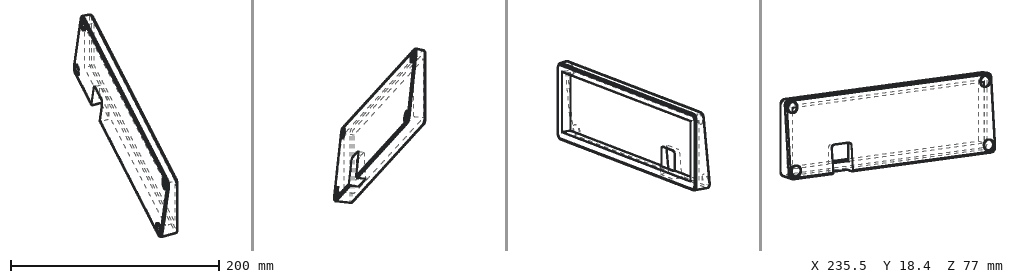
import cadquery as cq
import math

length = 235.5
depth = 18.4
height = 77.0
tilt = 6.0
corner_radius = 5.7
edge_chamfer = 1.5

wall = 8.5
cavity_depth = 10.0

notch_left = -68.0
notch_right = -45.7
notch_top = 28.3
notch_top_radius = 3.0
notch_end_radius = 1.3
notch_end_y = -8.5

foot_diameter = 10.5
foot_inset = 8.0
foot_depth = 1.0

tilt_sin = math.sin(math.radians(tilt))
tilt_cos = math.cos(math.radians(tilt))
tilt_tan = tilt_sin / tilt_cos

chamfer_trim = edge_chamfer * tilt_sin
bottom_depth = depth + chamfer_trim
slope_length = (height + chamfer_trim) / tilt_cos

slope_plane = cq.Plane(
    origin=(0, -bottom_depth, 0),
    xDir=(1, 0, 0),
    normal=(0, -tilt_cos, tilt_sin),
)


def wedge_body():
    """Wedge with a top face square to the slope, rounded corners and chamfered rims."""
    front_top = (-bottom_depth + slope_length * tilt_sin, slope_length * tilt_cos)
    back_top = (0, front_top[1] + front_top[0] * tilt_tan)
    body = (
        cq.Workplane("YZ", origin=(-length / 2, 0, 0))
        .polyline([(0, 0), (-bottom_depth, 0), front_top, back_top])
        .close()
        .extrude(length)
    )
    corner_edges = body.faces("<Z or >Z").edges("not |X")
    body = corner_edges.fillet(corner_radius)
    return body.faces("<Y or >Y").chamfer(edge_chamfer)


def cavity():
    """Rectangular pocket sunk from the flat back, with an equal wall all round."""
    cavity_length = length - 2 * wall
    cavity_height = height - 2 * wall
    return (
        cq.Workplane("XY", origin=(0, -cavity_depth, wall))
        .box(cavity_length, cavity_depth, cavity_height, centered=(True, False, False))
    )


def foot_recesses():
    """One shallow disc near each corner of the sloping face."""
    x = length / 2 - foot_inset
    heights = (foot_inset, slope_length - foot_inset)
    points = [(side * x, up) for side in (-1, 1) for up in heights]
    return (
        cq.Workplane(slope_plane)
        .pushPoints(points)
        .circle(foot_diameter / 2)
        .extrude(-foot_depth)
    )


def cable_notch():
    """Slot open at the lower edge: roof square to the slope, upright rounded end corners."""
    width = notch_right - notch_left
    middle = (notch_left + notch_right) / 2
    rise = notch_top / tilt_cos
    opening = (
        cq.Workplane(slope_plane)
        .moveTo(notch_left, -rise)
        .lineTo(notch_right, -rise)
        .lineTo(notch_right, rise - notch_top_radius)
        .radiusArc((notch_right - notch_top_radius, rise), -notch_top_radius)
        .lineTo(notch_left + notch_top_radius, rise)
        .radiusArc((notch_left, rise - notch_top_radius), -notch_top_radius)
        .close()
        .extrude(-2 * depth)
    )
    reach = (
        cq.Workplane("XY")
        .box(width, 2 * depth, 2 * height)
        .edges("|Z and >Y")
        .fillet(notch_end_radius)
        .translate((middle, notch_end_y - depth, 0))
    )
    return opening.intersect(reach)


result = wedge_body().cut(cavity()).cut(cable_notch()).cut(foot_recesses())